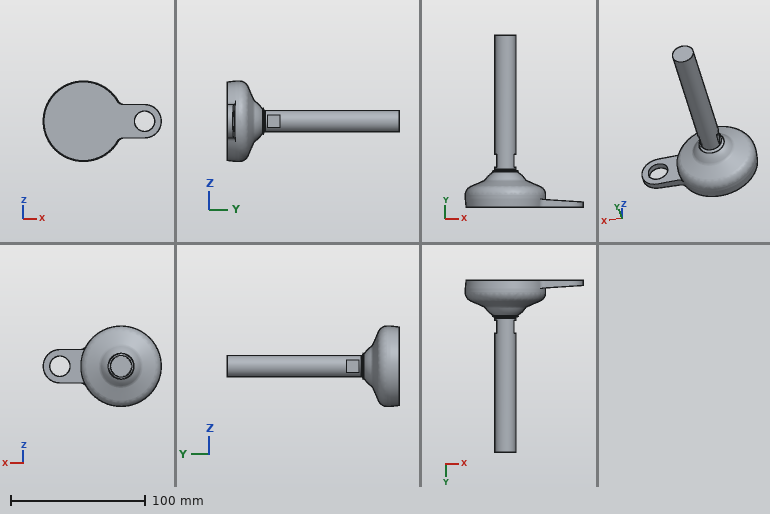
import cadquery as cq
import math


base_radius = 30.0
draft_height = 6.25
draft_angle = 6.5
shoulder_slope = 23.5
shoulder_fillet = 7.0
dome_center_height = 10.9
dome_sphere_radius = 17.85
dome_foot_radius = 15.3
dome_foot_fillet = 3.5

lip_root_radius = 9.2
lip_radius = 9.7
lip_height = 26.9

lug_end_radius = 12.5
lug_reach = 58.0
lug_hole_diameter = 15.0
lug_end_thickness = 4.0
lug_top_slope = 3.7
lug_root_fillet = 5.0

spindle_radius = 8.0
spindle_top = 128.0
seat_height = 27.9
spindle_chamfer = 0.6
flat_width = 13.0
flat_bottom = 29.8
flat_top = 39.3


def dome_height(radius):
    """Height of the spherical dome at a distance from the axis."""
    return dome_center_height + math.sqrt(dome_sphere_radius**2 - radius**2)


def make_base_body():
    """Revolved foot: drafted rim, conical shoulder, spherical dome and lip with a flat seat."""
    bottom_radius = base_radius - draft_height * math.tan(math.radians(draft_angle))
    dome_foot_height = dome_height(dome_foot_radius)
    shoulder_drop = (base_radius - dome_foot_radius) * math.tan(math.radians(shoulder_slope))
    shoulder_height = dome_foot_height - shoulder_drop
    dome_middle_radius = (dome_foot_radius + lip_root_radius) / 2
    seat_radius = spindle_radius - spindle_chamfer

    body = (
        cq.Workplane("XY")
        .moveTo(0, 0)
        .lineTo(bottom_radius, 0)
        .lineTo(base_radius, draft_height)
        .lineTo(base_radius, shoulder_height)
        .lineTo(dome_foot_radius, dome_foot_height)
        .threePointArc(
            (dome_middle_radius, dome_height(dome_middle_radius)),
            (lip_root_radius, dome_height(lip_root_radius)),
        )
        .lineTo(lip_radius, lip_height)
        .lineTo(seat_radius, seat_height)
        .lineTo(0, seat_height)
        .close()
        .revolve(360, (0, 0), (0, 1))
    )
    body = body.edges(ring_at(base_radius, shoulder_height)).fillet(shoulder_fillet)
    return body.edges(ring_at(dome_foot_radius, dome_foot_height)).fillet(dome_foot_fillet)


def ring_at(radius, height):
    """Selector for the circular edge of the given radius and height on the Y axis."""
    margin = 0.01
    outer = radius + margin
    return cq.selectors.BoxSelector(
        (-outer, height - margin, -outer), (outer, height + margin, outer), boundingbox=True
    )


def make_lug():
    """Round-ended tab with a flat underside and a top that slopes down to its tip."""
    lug_center = lug_reach - lug_end_radius
    root_thickness = lug_end_thickness + lug_reach * math.tan(math.radians(lug_top_slope))
    wedge = (
        cq.Workplane("XY")
        .polyline([(0, 0), (lug_reach, 0), (lug_reach, lug_end_thickness), (0, root_thickness)])
        .close()
        .extrude(lug_end_radius, both=True)
    )
    outline = (
        cq.Workplane("XZ")
        .moveTo(0, -lug_end_radius)
        .lineTo(lug_center, -lug_end_radius)
        .threePointArc((lug_reach, 0), (lug_center, lug_end_radius))
        .lineTo(0, lug_end_radius)
        .close()
        .extrude(-root_thickness)
    )
    hole = (
        cq.Workplane("XZ")
        .center(lug_center, 0)
        .circle(lug_hole_diameter / 2)
        .extrude(-root_thickness)
    )
    return wedge.intersect(outline).cut(hole)


def make_base():
    """Foot with the lug blended into its rim."""
    base = make_base_body().union(make_lug())
    root_x = math.sqrt(base_radius**2 - lug_end_radius**2)
    search = 2.0
    root_edges = cq.selectors.BoxSelector(
        (root_x - search, search, -lug_end_radius - search),
        (root_x + search, draft_height - search, lug_end_radius + search),
    )
    return base.edges(root_edges).fillet(lug_root_fillet)


def make_spindle():
    """Round spindle with a chamfered lower end and two wrench flats."""
    spindle = (
        cq.Workplane("XZ", origin=(0, seat_height, 0))
        .circle(spindle_radius)
        .extrude(seat_height - spindle_top)
        .faces("<Y")
        .chamfer(spindle_chamfer)
    )
    flat_height = flat_top - flat_bottom
    for side in (-1, 1):
        cutter_x = side * (flat_width + spindle_radius) / 2
        cutter_y = (flat_bottom + flat_top) / 2
        cutter = (
            cq.Workplane("XY", origin=(cutter_x, cutter_y, 0))
            .box(spindle_radius, flat_height, 2 * spindle_radius)
        )
        spindle = spindle.cut(cutter)
    return spindle


base = make_base()
spindle = make_spindle()

result = cq.Compound.makeCompound([base.val(), spindle.val()])